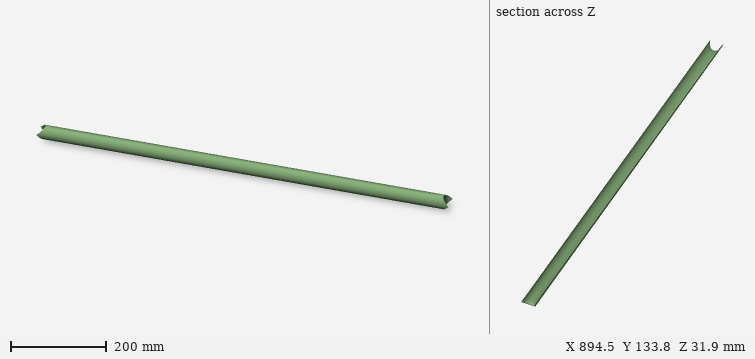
import cadquery as cq
import math

tube_diameter = 30.0
wall = 1.5
run_x = 891.0
run_y = 104.0
drop_z = 2.0

tube_radius = tube_diameter / 2
bore_radius = tube_radius - wall
cope_radius = tube_radius
cope_height = 4 * tube_diameter
tube_length = math.sqrt(run_x**2 + run_y**2 + drop_z**2)
heading_angle = math.degrees(math.atan2(run_y, run_x))
pitch_angle = math.degrees(math.asin(drop_z / tube_length))


def cope_cutter(x):
    """Cylinder crossing the tube at right angles, centred on its axis at x."""
    return (
        cq.Workplane("XY")
        .center(x, 0)
        .circle(cope_radius)
        .extrude(cope_height / 2, both=True)
    )


tube = (
    cq.Workplane("YZ")
    .circle(tube_radius)
    .circle(bore_radius)
    .extrude(tube_length / 2, both=True)
)
for end_x in (-tube_length / 2, tube_length / 2):
    tube = tube.cut(cope_cutter(end_x))

result = tube.rotate((0, 0, 0), (0, 1, 0), pitch_angle).rotate((0, 0, 0), (0, 0, 1), heading_angle)